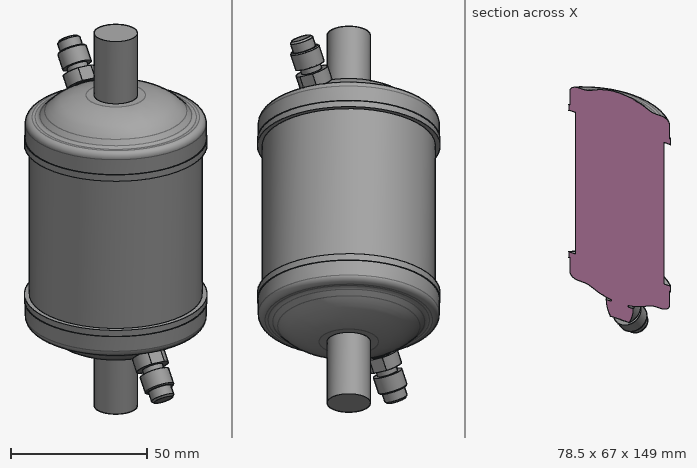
import cadquery as cq
import math

half_length = 74.5
pipe_diameter = 16.0
pipe_radius = pipe_diameter / 2
body_radius = 31.7

lip_radius = 33.5
lip_bottom = 29.8
lip_top = 32.3
band_radius = 33.2
shoulder_height = 40.8
shoulder_round = 2.5
crown_height = 49.6
crown_flat_radius = 10.9
dome_edge_radius = 26.1
dome_slope = 45.0
cone_width = 1.8

fitting_angle = 50.0
seat_x = -28.2
seat_z = 48.4
collar_radius = 6.1
collar_across_flats = 11.0
collar_length = 5.0
root_depth = 2.2
neck_radius = 3.9
neck_length = 2.2
barrel_radius = 5.5
barrel_length = 6.4
barrel_chamfer = 0.5
tip_radius = 4.3
tip_length = 4.2
tip_chamfer = 0.7


def make_end_cap():
    """Revolve the upper end: rolled lip, shoulder, dome and pipe."""
    slope = math.radians(dome_slope)
    dome_radius = (dome_edge_radius - crown_flat_radius) / math.sin(slope)
    dome_center = crown_height - dome_radius
    dome_edge_height = dome_center + dome_radius * math.cos(slope)
    dome_mid = (
        crown_flat_radius + dome_radius * math.sin(slope / 2),
        dome_center + dome_radius * math.cos(slope / 2),
    )

    cone_edge_radius = dome_edge_radius + cone_width
    cone_edge_height = dome_edge_height - cone_width * math.tan(slope)

    blend_radius = (cone_edge_height - shoulder_height) / (1 - math.cos(slope))
    blend_end = cone_edge_radius + blend_radius * math.sin(slope)
    blend_mid = (
        blend_end - blend_radius * math.sin(slope / 2),
        shoulder_height + blend_radius * (1 - math.cos(slope / 2)),
    )

    round_center_radius = band_radius - shoulder_round
    round_center_height = shoulder_height - shoulder_round
    round_mid = (
        round_center_radius + shoulder_round * math.sqrt(0.5),
        round_center_height + shoulder_round * math.sqrt(0.5),
    )
    return (
        cq.Workplane("XZ")
        .moveTo(0, lip_bottom)
        .lineTo(lip_radius, lip_bottom)
        .lineTo(lip_radius, lip_top)
        .lineTo(band_radius, lip_top)
        .lineTo(band_radius, round_center_height)
        .threePointArc(round_mid, (round_center_radius, shoulder_height))
        .lineTo(blend_end, shoulder_height)
        .threePointArc(blend_mid, (cone_edge_radius, cone_edge_height))
        .lineTo(dome_edge_radius, dome_edge_height)
        .threePointArc(dome_mid, (crown_flat_radius, crown_height))
        .lineTo(pipe_radius, crown_height)
        .lineTo(pipe_radius, half_length)
        .lineTo(0, half_length)
        .close()
        .revolve(360, (0, 0, 0), (0, 1, 0))
    )


def make_fitting():
    """Build the stepped fitting along its tilted axis, ending inside the dome."""
    angle = math.radians(fitting_angle)
    seat = cq.Plane(
        origin=(seat_x, 0, seat_z),
        xDir=(math.sin(angle), 0, math.cos(angle)),
        normal=(-math.cos(angle), 0, math.sin(angle)),
    )
    collar_plane = cq.Workplane(seat).workplane(offset=-collar_length)
    collar = collar_plane.circle(collar_radius).extrude(collar_length)
    flats = collar_plane.rect(collar_across_flats, 2 * collar_radius).extrude(collar_length)

    root = collar_plane.circle(neck_radius).extrude(-root_depth)
    neck = cq.Workplane(seat).circle(neck_radius).extrude(neck_length)
    barrel = (
        cq.Workplane(seat)
        .workplane(offset=neck_length)
        .circle(barrel_radius)
        .extrude(barrel_length)
        .edges(cq.selectors.DirectionMinMaxSelector(seat.zDir))
        .chamfer(barrel_chamfer)
    )
    tip = (
        cq.Workplane(seat)
        .workplane(offset=neck_length + barrel_length)
        .circle(tip_radius)
        .extrude(tip_length)
        .edges(cq.selectors.DirectionMinMaxSelector(seat.zDir))
        .chamfer(tip_chamfer)
    )
    return collar.intersect(flats).union(root).union(neck).union(barrel).union(tip)


body = cq.Workplane("XY", origin=(0, 0, -lip_bottom)).circle(body_radius).extrude(2 * lip_bottom)
end_cap = make_end_cap()
fitting = make_fitting()

result = body.union(end_cap).union(end_cap.mirror("XY")).union(fitting)
result = result.union(fitting.rotate((0, 0, 0), (0, 1, 0), 180))